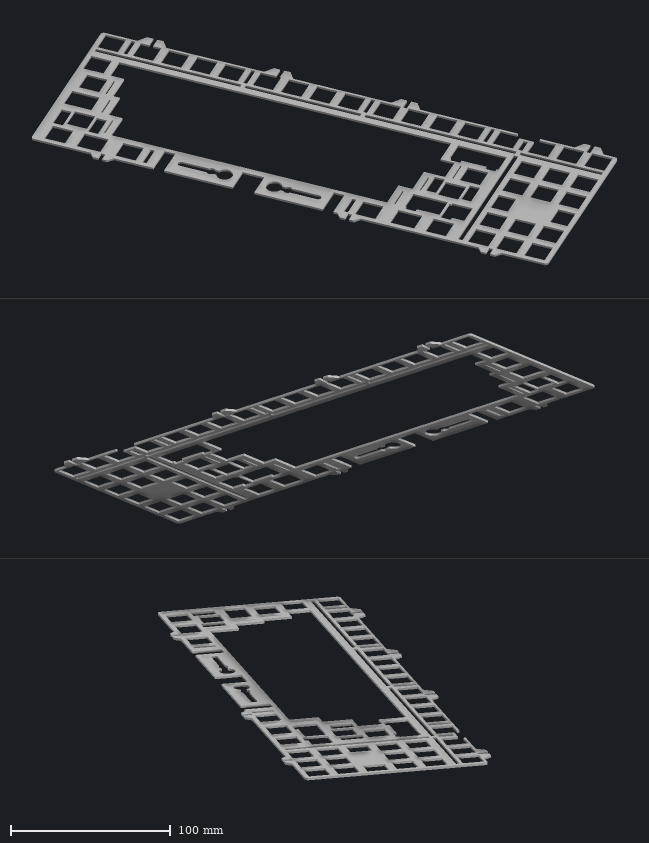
import cadquery as cq

LENGTH = 348.5
TAB_SPAN = 128.0
REAR_TIP = TAB_SPAN / 2
FRONT_TIP = -TAB_SPAN / 2
THICKNESS = 1.5
SIDE_MARGIN = 0.52
REAR_EDGE = 58.2
FRONT_EDGE = -60.3
CORNER_RADIUS = 2.0

GRID_COLUMNS = 18.25
PITCH = (LENGTH - 2 * SIDE_MARGIN) / GRID_COLUMNS
GRID_LEFT = -LENGTH / 2 + SIDE_MARGIN
GRID_BOTTOM = FRONT_EDGE + SIDE_MARGIN
SWITCH = 14.0

CTRL_ROW, SHIFT_ROW, HOME_ROW, TAB_ROW, NUMBER_ROW, FUNCTION_ROW = 0.5, 1.5, 2.5, 3.5, 4.5, 5.75

NUMPAD = [15.75, 16.75, 17.75]
SWITCHES = {
    FUNCTION_ROW: [0.5, 1.75, 2.75, 3.75, 4.75, 6, 7, 8, 9, 10.25, 11.25, 12.25, 13.25, 14.5] + NUMPAD,
    NUMBER_ROW: [0.5, 13.5, 14, 14.5] + NUMPAD,
    TAB_ROW: [0.75, 14.25] + NUMPAD,
    HOME_ROW: [0.625, 0.875, 13.875],
    SHIFT_ROW: [1.125, 13.125, 13.625, 14.5] + NUMPAD,
    CTRL_ROW: [0.75, 1.875, 2, 3.25, 11.75, 13, 13.125, 14.25] + NUMPAD,
}
FIRST_COLUMN = SWITCHES[FUNCTION_ROW][0]
LAST_COLUMN = NUMPAD[-1]

BADGE_SWITCH_WIDTH = 12.0

STAB_WIDTH = 7.0
STAB_HEIGHT = 15.0
STAB_REACH = 12.0
STAB_OFFSET = 1.7
STABILISERS = [
    (14, NUMBER_ROW, -1),
    (13.875, HOME_ROW, 1),
    (1.125, SHIFT_ROW, -1),
    (13.625, SHIFT_ROW, -1),
]

FUNCTION_RELIEFS = [1.125, 5.375, 9.625, 13.875]
RELIEF_WIDTH = 2.8
LONG_SLOT_Y = 39.5
LONG_SLOT_WIDTH = 2.5
LONG_SLOT_BRIDGE = 2.8
NUMPAD_GAP = 15.125
LONG_SLOT_BRIDGES = [5.375, 9.625, NUMPAD_GAP]
NUMPAD_SLOT_WIDTH = 3.0
NUMPAD_SLOT_REAR = 36.3
TONGUE_SLOT_REAR = 52.3
FLEX_SLOT_WIDTH = 1.0
FLEX_SLOT_INSET = 5.0
CTRL_RELIEF_REACH = 68.0

WINDOW_WALL = 2.0
WINDOW_LEFT_COLUMNS = (2.25, 1.75, 1.5, 1)
WINDOW_RIGHT_COLUMNS = (12.25, 12.75, 13.5, 13)
BACKSPACE_STEP_DROP = 3.0
SPACE_COLUMN = 7.5
NOTCH_OFFSET = 3.0
OUTER_NOTCH_WIDTH = 7.3
OUTER_NOTCH_END = -41.5
CENTRE_NOTCH_WIDTH = 14.5
KEYHOLE_Y = -50.0
KEYHOLE_ENTRY_REACH = 16.7
KEYHOLE_ENTRY_RADIUS = 5.2
KEYHOLE_LOBE_REACH = 25.8
KEYHOLE_LOBE_RADIUS = 3.0
KEYHOLE_SLOT = 4.2
KEYHOLE_SLOT_REACH = 48.5

REAR_TABS = [1.75, 6.25, 10.75, 17.25]
FRONT_TABS = [2.5, 11.25, 16.25]
REAR_TAB_BASE = 19.5
REAR_TAB_TIP = 11.0
FRONT_TAB_BASE = 15.5
FRONT_TAB_TIP = 9.0
TAB_SLIT = 2.8
TAB_SLIT_DEPTH = 1.7

RAIL_GAP_WIDTH = 15.0
RAIL_GAP_FLOOR = 54.0


def column(units):
    """X of a position in key units."""
    return GRID_LEFT + units * PITCH


def row(units):
    """Y of a position in key units."""
    return GRID_BOTTOM + units * PITCH


WINDOW_LEFT = [column(u) + WINDOW_WALL for u in WINDOW_LEFT_COLUMNS]
WINDOW_RIGHT = [column(u) - WINDOW_WALL for u in WINDOW_RIGHT_COLUMNS]


def block(x0, x1, y0, y1):
    """Full-thickness block between two X and two Y limits."""
    centre = ((x0 + x1) / 2, (y0 + y1) / 2, THICKNESS / 2)
    return cq.Workplane("XY").box(x1 - x0, y1 - y0, THICKNESS).translate(centre)


def centred_block(x, y, width, height):
    return block(x - width / 2, x + width / 2, y - height / 2, y + height / 2)


def prism(points):
    return cq.Workplane("XY").polyline(points).close().extrude(THICKNESS)


def tab(x, edge, tip, base_width, tip_width):
    """Trapezoid standing on a plate edge."""
    return prism([(x - base_width / 2, edge), (x - tip_width / 2, tip),
                  (x + tip_width / 2, tip), (x + base_width / 2, edge)])


def keyhole(side):
    """Round entry, small round lobe and round-ended slot, running away from the space bar centre."""
    centre = column(SPACE_COLUMN)

    def disc(reach, radius):
        return cq.Workplane("XY").center(centre + side * reach, KEYHOLE_Y).circle(radius).extrude(THICKNESS)

    slot_length = KEYHOLE_SLOT_REACH - KEYHOLE_ENTRY_REACH
    slot_centre = centre + side * (KEYHOLE_ENTRY_REACH + slot_length / 2)
    slot_plane = cq.Workplane("XY").center(slot_centre, KEYHOLE_Y)
    slot = slot_plane.slot2D(slot_length, KEYHOLE_SLOT).extrude(THICKNESS)
    entry = disc(KEYHOLE_ENTRY_REACH, KEYHOLE_ENTRY_RADIUS)
    lobe = disc(KEYHOLE_LOBE_REACH, KEYHOLE_LOBE_RADIUS)
    return entry.union(slot).union(lobe)


def window():
    """Opening over the alphanumeric block, stepped along the staggered key rows."""
    levels = [row(u) + WINDOW_WALL for u in range(1, 5)] + [row(5) - WINDOW_WALL]
    right_levels = levels[:3] + [levels[3] - BACKSPACE_STEP_DROP, levels[4]]
    points = []
    for x, front, rear in zip(WINDOW_RIGHT, right_levels, right_levels[1:]):
        points += [(x, front), (x, rear)]
    for x, front, rear in reversed(list(zip(WINDOW_LEFT, levels, levels[1:]))):
        points += [(x, rear), (x, front)]
    return prism(points)


def plate_blank():
    """Rounded rectangle with tabs on its rear and front edges."""
    blank = block(-LENGTH / 2, LENGTH / 2, FRONT_EDGE, REAR_EDGE).edges("|Z").fillet(CORNER_RADIUS)
    for u in REAR_TABS:
        blank = blank.union(tab(column(u), REAR_EDGE, REAR_TIP, REAR_TAB_BASE, REAR_TAB_TIP))
    for u in FRONT_TABS:
        blank = blank.union(tab(column(u), FRONT_EDGE, FRONT_TIP, FRONT_TAB_BASE, FRONT_TAB_TIP))
    return blank


def switch_openings():
    openings = []
    for level, columns in SWITCHES.items():
        openings += [centred_block(column(u), row(level), SWITCH, SWITCH) for u in columns]
    inset = (SWITCH - BADGE_SWITCH_WIDTH) / 2
    for x in (column(NUMPAD[0]) - inset, column(NUMPAD[-1]) + inset):
        openings.append(centred_block(x, row(HOME_ROW), BADGE_SWITCH_WIDTH, SWITCH))
    return openings


def stabiliser_openings():
    openings = []
    for u, level, direction in STABILISERS:
        y = row(level) + direction * STAB_OFFSET
        for side in (-1, 1):
            openings.append(centred_block(column(u) + side * STAB_REACH, y, STAB_WIDTH, STAB_HEIGHT))
    return openings


def relief_slots():
    """Short slots between keys, one switch opening long."""
    reliefs = [(column(u), FUNCTION_ROW, RELIEF_WIDTH) for u in FUNCTION_RELIEFS]
    for side in (-1, 1):
        reliefs.append((column(SPACE_COLUMN) + side * CTRL_RELIEF_REACH, CTRL_ROW, RELIEF_WIDTH))
    for level, left, right in zip((SHIFT_ROW, HOME_ROW, TAB_ROW), WINDOW_LEFT, WINDOW_RIGHT):
        reliefs.append((left - FLEX_SLOT_INSET, level, FLEX_SLOT_WIDTH))
        reliefs.append((right + FLEX_SLOT_INSET, level, FLEX_SLOT_WIDTH))
    return [centred_block(x, row(level), width, SWITCH) for x, level, width in reliefs]


def long_slots():
    """Slot behind the number row, split by bridges."""
    half_bridge = LONG_SLOT_BRIDGE / 2
    starts = [column(FIRST_COLUMN) - SWITCH / 2] + [column(u) + half_bridge for u in LONG_SLOT_BRIDGES]
    ends = [column(u) - half_bridge for u in LONG_SLOT_BRIDGES] + [column(LAST_COLUMN) + SWITCH / 2]
    front = LONG_SLOT_Y - LONG_SLOT_WIDTH / 2
    rear = LONG_SLOT_Y + LONG_SLOT_WIDTH / 2
    return [block(start, end, front, rear) for start, end in zip(starts, ends)]


def strip(u, width, front, rear):
    """Block of the given width centred on a key column, between two Y limits."""
    return block(column(u) - width / 2, column(u) + width / 2, front, rear)


def numpad_gap_cuts():
    return [
        strip(NUMPAD_GAP, NUMPAD_SLOT_WIDTH, row(CTRL_ROW) - SWITCH / 2, NUMPAD_SLOT_REAR),
        strip(NUMPAD_GAP, NUMPAD_SLOT_WIDTH, row(FUNCTION_ROW) - SWITCH / 2, TONGUE_SLOT_REAR),
        strip(NUMPAD_GAP, RAIL_GAP_WIDTH, RAIL_GAP_FLOOR, REAR_EDGE),
    ]


def front_notches():
    return [
        strip(SPACE_COLUMN - NOTCH_OFFSET, OUTER_NOTCH_WIDTH, FRONT_EDGE, OUTER_NOTCH_END),
        strip(SPACE_COLUMN, CENTRE_NOTCH_WIDTH, FRONT_EDGE, row(CTRL_ROW) + SWITCH / 2),
        strip(SPACE_COLUMN + NOTCH_OFFSET, OUTER_NOTCH_WIDTH, FRONT_EDGE, OUTER_NOTCH_END),
    ]


def tab_slits():
    rear = [strip(u, TAB_SLIT, REAR_EDGE - TAB_SLIT_DEPTH, REAR_TIP) for u in REAR_TABS]
    front = [strip(u, TAB_SLIT, FRONT_TIP, FRONT_EDGE + TAB_SLIT_DEPTH) for u in FRONT_TABS]
    return rear + front


cuts = [window(), keyhole(-1), keyhole(1)]
cuts += switch_openings() + stabiliser_openings()
cuts += relief_slots() + long_slots() + numpad_gap_cuts()
cuts += front_notches() + tab_slits()

plate = plate_blank().val().cut(*[cut.val() for cut in cuts])
result = cq.Workplane("XY").newObject(plate.Solids())